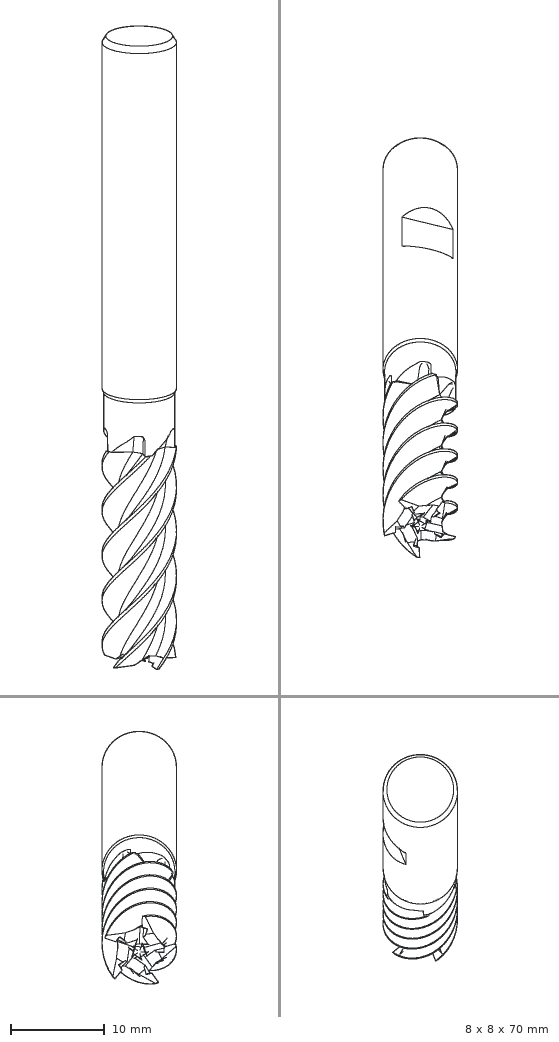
import cadquery as cq
import math

LENGTH = 70.0
DIAMETER = 8.0
RADIUS = DIAMETER / 2
CUTTER_OVERRUN = 0.7

TOP_CHAMFER_HEIGHT = 0.7
TOP_CHAMFER_WIDTH = 0.4
NECK_DIAMETER = 7.6
NECK_RADIUS = NECK_DIAMETER / 2
NECK_TOP = 30.0
NECK_CONE_HEIGHT = 0.4

FLAT_CENTRE = 51.95
FLAT_LENGTH = 5.6
FLAT_DEPTH = 1.2

HEAD_LENGTH = 24.0
TEETH = 5
PITCH_ANGLE = 360 / TEETH
HELIX_LEAD = math.pi * DIAMETER
HEAD_TWIST = 360 * HEAD_LENGTH / HELIX_LEAD
FIRST_EDGE_ANGLE = 35.5

LAND_ANGLE = 7.0
TROUGH_ANGLE = 45.0
TROUGH_RADIUS = 2.3
RAKE_FOOT_ANGLE = 70.0
RAKE_FOOT_RADIUS = 2.8

RUNOUT_HEIGHT = 2.25
RUNOUT_TIP_ANGLE = 53.0
RUNOUT_TIP_RADIUS = 3.35
RUNOUT_OUTER_RADIUS = 4.35
RUNOUT_CREST_RADIUS = 4.9
RUNOUT_ROUNDING = 0.5

GASH_HEIGHT = 1.1
GASH_SETBACK = 0.2
GASH_LEAN = 0.85
GASH_ROOF = 1.05
GASH_WIDTH = 1.75
GASH_INNER_RADIUS = 0.55

RELIEF_LENGTH = 2.45
RELIEF_HEIGHT = 0.3


def polar(radius, angle):
    """Point in the XY plane at an angle in degrees."""
    turn = math.radians(angle)
    return radius * math.cos(turn), radius * math.sin(turn)


def tooth_section():
    """Cross-section of the head at the tip: lands joined by straight-sided flutes."""
    section = cq.Workplane("XY").moveTo(*polar(RADIUS, FIRST_EDGE_ANGLE))
    for tooth in range(TEETH):
        edge = FIRST_EDGE_ANGLE + tooth * PITCH_ANGLE
        section = section.threePointArc(
            polar(RADIUS, edge + LAND_ANGLE / 2), polar(RADIUS, edge + LAND_ANGLE)
        )
        section = section.lineTo(*polar(TROUGH_RADIUS, edge + TROUGH_ANGLE))
        section = section.lineTo(*polar(RAKE_FOOT_RADIUS, edge + RAKE_FOOT_ANGLE))
        if tooth < TEETH - 1:
            section = section.lineTo(*polar(RADIUS, edge + PITCH_ANGLE))
    return section.close()


def radial_cutter(profile, inner_radius, edge):
    """Prism along a radius; the profile gives (distance behind the edge, height) points."""
    return (
        cq.Workplane("YZ", origin=(inner_radius, 0, 0))
        .polyline(profile)
        .close()
        .extrude(RADIUS + CUTTER_OVERRUN)
        .rotate((0, 0, 0), (0, 0, 1), edge)
    )


def end_gash(edge):
    roof_back = GASH_SETBACK + GASH_LEAN
    profile = [
        (GASH_SETBACK, 0),
        (roof_back, GASH_HEIGHT),
        (roof_back - GASH_ROOF, GASH_HEIGHT),
        (-GASH_WIDTH, 0),
    ]
    return radial_cutter(profile, GASH_INNER_RADIUS, edge)


def end_relief(edge):
    relief_end = GASH_SETBACK + RELIEF_LENGTH
    profile = [(GASH_SETBACK, 0), (relief_end, 0), (relief_end, RELIEF_HEIGHT)]
    return radial_cutter(profile, 0, edge)


def make_cutting_head():
    head = tooth_section().twistExtrude(HEAD_LENGTH, HEAD_TWIST)
    for tooth in range(TEETH):
        edge = FIRST_EDGE_ANGLE + tooth * PITCH_ANGLE
        head = head.cut(end_gash(edge)).cut(end_relief(edge))
    return head


def runout(edge):
    """Flute run-out: the flute section shrinks upwards towards the next cutting edge."""
    base = [
        polar(RUNOUT_OUTER_RADIUS, edge + LAND_ANGLE),
        polar(TROUGH_RADIUS, edge + TROUGH_ANGLE),
        polar(RAKE_FOOT_RADIUS, edge + RAKE_FOOT_ANGLE),
        polar(RUNOUT_OUTER_RADIUS, edge + PITCH_ANGLE),
        polar(RUNOUT_CREST_RADIUS, edge + (LAND_ANGLE + PITCH_ANGLE) / 2),
    ]
    tip = [
        polar(RUNOUT_OUTER_RADIUS, edge + RUNOUT_TIP_ANGLE),
        polar(RUNOUT_TIP_RADIUS, edge + RUNOUT_TIP_ANGLE),
        polar(RUNOUT_TIP_RADIUS, edge + RAKE_FOOT_ANGLE),
        polar(RUNOUT_OUTER_RADIUS, edge + PITCH_ANGLE),
        polar(RUNOUT_CREST_RADIUS, edge + (RUNOUT_TIP_ANGLE + PITCH_ANGLE) / 2),
    ]
    return (
        cq.Workplane("XY", origin=(0, 0, HEAD_LENGTH))
        .polyline(base)
        .close()
        .workplane(offset=RUNOUT_HEIGHT)
        .polyline(tip)
        .close()
        .loft(ruled=True)
        .faces(">Z")
        .edges()
        .fillet(RUNOUT_ROUNDING)
    )


def clamping_flat():
    """Trapezoidal cutter for the flat, running across the shank along X."""
    half_floor = FLAT_LENGTH / 2
    half_mouth = half_floor + FLAT_DEPTH
    floor = RADIUS - FLAT_DEPTH
    return (
        cq.Workplane("YZ")
        .polyline([
            (floor, FLAT_CENTRE - half_floor),
            (RADIUS, FLAT_CENTRE - half_mouth),
            (RADIUS, FLAT_CENTRE + half_mouth),
            (floor, FLAT_CENTRE + half_floor),
        ])
        .close()
        .extrude(RADIUS, both=True)
    )


def make_shank():
    """Shank and neck turned in one piece, then flatted and cut by the run-outs."""
    shank = (
        cq.Workplane("XZ")
        .polyline([
            (0, HEAD_LENGTH),
            (NECK_RADIUS, HEAD_LENGTH),
            (NECK_RADIUS, NECK_TOP),
            (RADIUS, NECK_TOP + NECK_CONE_HEIGHT),
            (RADIUS, LENGTH - TOP_CHAMFER_HEIGHT),
            (RADIUS - TOP_CHAMFER_WIDTH, LENGTH),
            (0, LENGTH),
        ])
        .close()
        .revolve(360, (0, 0, 0), (0, 1, 0))
    )
    shank = shank.cut(clamping_flat())
    for flute in range(TEETH):
        shank = shank.cut(runout(FIRST_EDGE_ANGLE + HEAD_TWIST + flute * PITCH_ANGLE))
    return shank


shank = make_shank()
cutting_head = make_cutting_head()

result = cq.Compound.makeCompound([shank.val(), cutting_head.val()])